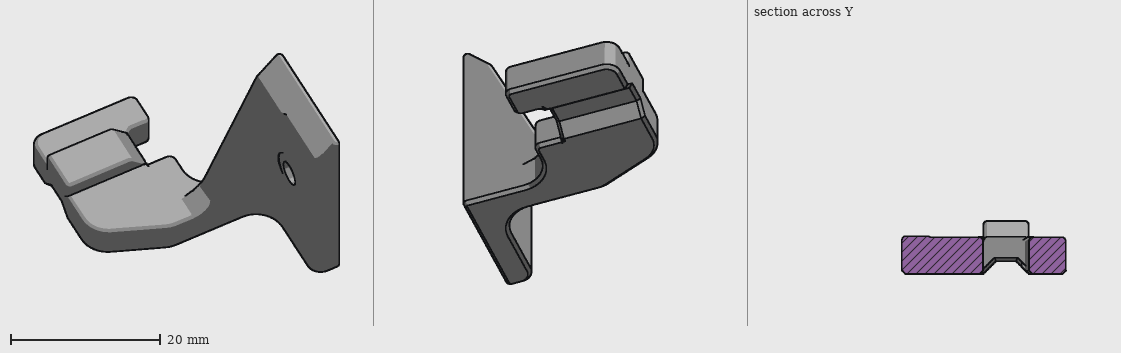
import cadquery as cq
import math

length = 35.25
depth = 28.85
wall = 4.02
base_top = 5.0
base_rear = 16.0
bend_start = 10.0
wall_left = 18.0
wall_right = wall_left + wall
wall_middle = wall_left + wall / 2
plate_front = depth - wall
toe = base_rear - wall

edge_round = 0.6
bottom_chamfer = 0.5
corner_round = 1.0
plate_round = 2 * corner_round
bend_round = wall

bend_x = wall_right + bend_round
bend_y = plate_front - bend_round

rail_left = 4.97
rail_right = 11.1
rail_top = 7.15
notch_floor = 12.05
channel_depth = 1.73

bevel_angle = math.radians(45)
ridge_height = 29.0
kink_height = ridge_height - wall * math.tan(bevel_angle)

hole_diameter = 3.4
seat_radius = 3.0
hole_x = 28.0
hole_z = 15.0

margin = 0.05


def edges_in(body, low, high):
    """Edges whose centres lie in the box between two opposite corners."""
    return body.edges(cq.selectors.BoxSelector(low, high))


def round_upright(body, corners, radius):
    """Fillet the upright edges that stand on the given (x, y) corners."""
    for x, y in corners:
        low = (x - margin, y - margin, 0)
        high = (x + margin, y + margin, length)
        body = edges_in(body.edges("|Z"), low, high).fillet(radius)
    return body


def round_across(body, y, z, radius):
    """Fillet the edge that runs along X at the given y and z."""
    low = (0, y - margin, z - margin)
    high = (length, y + margin, z + margin)
    return edges_in(body.edges("|X"), low, high).fillet(radius)


def side_prism(profile, x_start, x_end):
    """Closed (y, z) profile extruded along X."""
    return cq.Workplane("YZ", origin=(x_start, 0, 0)).polyline(profile).close().extrude(x_end - x_start)


def make_base():
    """Flat base with its notch; it reaches a little way into the wall."""
    outline = [
        (0, 0), (wall_left, 0), (wall_right, bend_start), (wall_right, toe),
        (wall_middle, toe), (wall_middle, plate_front), (wall_left, plate_front),
        (wall_left, base_rear), (rail_right, base_rear), (rail_right, notch_floor),
        (rail_left, notch_floor), (rail_left, base_rear), (0, base_rear),
    ]
    bends = [(wall_left, 0), (wall_right, bend_start), (wall_left, base_rear)]
    small_corners = [
        (0, base_rear), (rail_left, base_rear), (rail_right, base_rear), (rail_left, notch_floor),
    ]
    base = cq.Workplane("XY").polyline(outline).close().extrude(base_top)
    base = round_upright(base, [(0, 0)], plate_round)
    base = round_upright(base, bends, bend_round)
    base = round_upright(base, small_corners, corner_round)

    top = base.faces(">Z")
    inside_wall = edges_in(top, (wall_left - margin, toe - margin, 0), (wall_right, depth, length)).vals()
    exposed = [edge for edge in top.edges().vals() if edge not in inside_wall]
    base = base.newObject(exposed).fillet(edge_round)

    square_end = cq.Workplane("XY").box(edge_round, edge_round, edge_round, centered=False)
    corner = (rail_right, notch_floor - edge_round, base_top - edge_round)
    return base.union(square_end.translate(corner))


def make_rim_cutter():
    """Ring that carries the rounding of the plate's top around the concave corner."""
    tangent = plate_round * math.tan(bevel_angle / 2)
    inner_radius = bend_round
    outer_radius = inner_radius + tangent * math.cos(bevel_angle)
    round_start = kink_height - tangent
    round_end = kink_height + tangent * math.sin(bevel_angle)
    ring = (
        cq.Workplane("XZ").moveTo(inner_radius, round_start)
        .radiusArc((outer_radius, round_end), plate_round)
        .lineTo(outer_radius, length).lineTo(inner_radius, length).close()
        .revolve(360, (0, 0, 0), (0, 1, 0))
    )
    return ring.translate((bend_x, bend_y, 0))


def make_web():
    """Inclined wall, including the concave corner towards the plate."""
    profile = [
        (toe, 0), (depth, 0), (depth, ridge_height), (plate_front, kink_height),
        (base_rear, base_top), (toe, base_top),
    ]
    web = side_prism(profile, wall_left, bend_x)
    web = round_across(web, plate_front, kink_height, plate_round)
    web = round_across(web, base_rear, base_top, bend_round)
    beside_wall = (
        cq.Workplane("XY").moveTo(wall_right, 0).lineTo(bend_x, 0).lineTo(bend_x, plate_front)
        .radiusArc((wall_right, bend_y), -bend_round).close().extrude(length)
    )
    return web.cut(beside_wall).cut(make_rim_cutter())


def make_plate():
    """Rear plate with a bevelled top and a rounded free corner."""
    profile = [(plate_front, 0), (depth, 0), (depth, ridge_height), (plate_front, kink_height)]
    plate = side_prism(profile, wall_left, length)
    plate = round_across(plate, plate_front, kink_height, plate_round)
    footprint = cq.Workplane("XY", origin=(0, plate_front, 0)).box(length, wall, length, centered=False)
    return plate.intersect(round_upright(footprint, [(length, plate_front)], plate_round))


def make_upright():
    """Wall and plate joined, with every exposed edge above the base rounded."""
    body = make_web().union(make_plate())
    left = body.faces("<X").edges("not |Y")
    rear = body.faces(">Y").edges(">Z or |Z")
    right = body.faces(">X").edges(">Z")
    free_corner = edges_in(
        body,
        (length - plate_round, plate_front, kink_height + edge_round),
        (length - margin, depth, ridge_height),
    )
    inner = edges_in(
        body.edges("not |Z"),
        (wall_right - margin, toe, base_top - margin),
        (bend_x - plate_round, plate_front, kink_height),
    )
    rounded = left.add(rear).add(right).add(free_corner).add(inner)
    return body.newObject(rounded.vals()).fillet(edge_round)


def make_rail():
    """Guide rail with a 45 degree ramp at its rear end; its foot is sunk in the base."""
    foot = base_top / 2
    ramp_end = notch_floor - (rail_top - base_top)
    profile = [(0, foot), (notch_floor, foot), (notch_floor, base_top), (ramp_end, rail_top), (0, rail_top)]
    rail = side_prism(profile, rail_left, rail_right)
    ramp_sides = edges_in(
        rail, (0, ramp_end + margin, base_top + margin), (length, notch_floor - margin, rail_top - margin)
    )
    rounded = rail.faces(">Z or <Y").edges("not <Z").add(ramp_sides)
    return rail.newObject(rounded.vals()).fillet(edge_round)


def channel_section(growth):
    """Trapezoid under the rail with 45 degree sides, every side moved outwards by growth."""
    left = rail_left - growth * math.sqrt(2)
    right = rail_right + growth * math.sqrt(2)
    height = channel_depth + growth
    return [(left, 0), (left + height, height), (right - height, height), (right, 0)]


def channel_piece(start, start_growth, end, end_growth):
    """Channel from y = start to y = end, changing evenly from one section to the other."""
    return (
        cq.Workplane("XZ", origin=(0, start, 0)).polyline(channel_section(start_growth)).close()
        .workplane(offset=start - end).polyline(channel_section(end_growth)).close().loft(ruled=True)
    )


def cut_channel(body):
    """Channel under the rail, flared where it meets the front and the notch floor.

    It also runs out through the rounded inner corner of the notch.
    """
    body = body.cut(channel_piece(0, 0, notch_floor + corner_round, 0))
    body = body.cut(channel_piece(0, bottom_chamfer, bottom_chamfer, 0))
    return body.cut(channel_piece(notch_floor - bottom_chamfer, 0, notch_floor, bottom_chamfer))


def cut_screw_hole(body):
    """Through hole in the plate, with a flat seat cut into the concave corner."""
    seat = cq.Workplane("XZ", origin=(hole_x, plate_front, hole_z)).circle(seat_radius).extrude(bend_round)
    hole = cq.Workplane("XZ", origin=(hole_x, depth, hole_z)).circle(hole_diameter / 2).extrude(wall)
    return body.cut(seat).cut(hole)


bracket = make_base().union(make_upright())
bracket = bracket.faces("<Z").edges().chamfer(bottom_chamfer)
bracket = bracket.union(make_rail())
bracket = cut_channel(bracket)
result = cut_screw_hole(bracket)